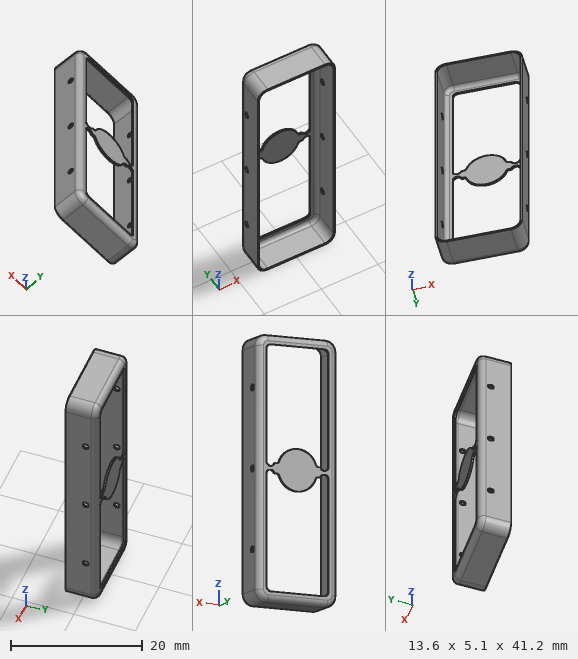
import cadquery as cq
import math

width = 13.6
depth = 5.1
height = 41.2
wall = 0.3
corner_radius = 1.77
edge_radius = 1.0

rim_width = 1.52
opening_width = width - 2 * rim_width
opening_height = height - 2 * rim_width
opening_corner_radius = 0.82

disc_radius = 3.3
tab_half_height = 0.8
neck_half_height = 0.3
notch_radius = 0.7
disc_blend_radius = 0.5

hole_diameter = 0.95
hole_spacing = 12.5
hole_setback = 1.8

back_y = depth / 2
plate_front_y = back_y - wall


def rounded_block(x_size, z_size, front_y, rear_y, radius):
    """Block between two Y planes with its four Y-direction edges rounded."""
    length = rear_y - front_y
    block = cq.Workplane("XY").box(x_size, length, z_size)
    return block.edges("|Y").fillet(radius).translate((0, (front_y + rear_y) / 2, 0))


def cylinder_y(radius, x, z):
    """Cylinder along Y spanning the plate thickness."""
    return cq.Workplane("XZ", origin=(x, back_y, z)).circle(radius).extrude(wall)


def make_shell():
    outer = rounded_block(width, height, -back_y, back_y, corner_radius)
    outer = outer.faces(">Y").edges().fillet(edge_radius)
    cavity = rounded_block(
        width - 2 * wall, height - 2 * wall, -back_y, plate_front_y, corner_radius - wall
    )
    cavity = cavity.faces(">Y").edges().fillet(edge_radius - wall)
    opening = rounded_block(
        opening_width, opening_height, plate_front_y, back_y, opening_corner_radius
    )
    return outer.cut(cavity).cut(opening)


def make_bridge():
    """Disc and tabs, with blended disc joints and round notches beside the walls."""
    tab_length = opening_width + 2 * wall
    plate_middle_y = back_y - wall / 2
    tabs = cq.Workplane("XY").box(tab_length, wall, 2 * tab_half_height)
    bridge = tabs.translate((0, plate_middle_y, 0)).union(cylinder_y(disc_radius, 0, 0))

    joint_x = math.sqrt(disc_radius**2 - tab_half_height**2)
    margin = disc_blend_radius / 2
    joints = cq.selectors.BoxSelector(
        (-joint_x - margin, plate_front_y - wall, -tab_half_height - margin),
        (joint_x + margin, back_y + wall, tab_half_height + margin),
    )
    bridge = bridge.edges("|Y").edges(joints).fillet(disc_blend_radius)

    notch_x = opening_width / 2 - notch_radius
    notch_z = neck_half_height + notch_radius
    for x_side in (-1, 1):
        for z_side in (-1, 1):
            notch = cylinder_y(notch_radius, x_side * notch_x, z_side * notch_z)
            bridge = bridge.cut(notch)
    return bridge


def make_holes():
    hole_y = back_y - hole_setback
    return (
        cq.Workplane("YZ", origin=(-width, 0, 0))
        .pushPoints([(hole_y, row * hole_spacing) for row in (-1, 0, 1)])
        .circle(hole_diameter / 2)
        .extrude(2 * width)
    )


result = make_shell().union(make_bridge()).cut(make_holes())